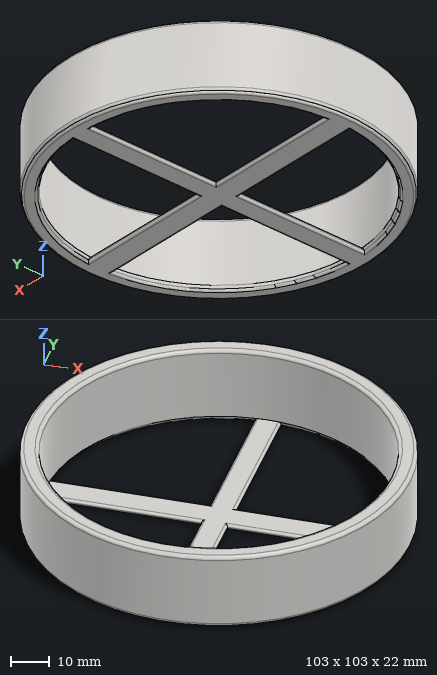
import cadquery as cq

outer_diameter = 103
inner_diameter = 93.0
total_height = 22.0
ring_lift = 0.5
ring_fillet = 1.0

base_thickness = 1.5
base_fillet = 0.7
hoop_inset = 0.4
x_spoke_width = 8.0
y_spoke_width = 7.0


def make_tube(outer, inner, length):
    """Concentric tube standing on the XY plane."""
    return cq.Workplane("XY").circle(outer / 2).circle(inner / 2).extrude(length)


def round_ends(solid, radius):
    """Round every edge of the top and bottom faces."""
    return solid.faces("<Z or >Z").edges().fillet(radius)


def make_ring():
    """Upper ring with all four circular edges rounded."""
    ring = make_tube(outer_diameter, inner_diameter, total_height - ring_lift)
    return round_ends(ring, ring_fillet).translate((0, 0, ring_lift))


def make_hoop():
    """Rounded base hoop, inset from both faces of the ring wall."""
    hoop = make_tube(
        outer_diameter - 2 * hoop_inset, inner_diameter + 2 * hoop_inset, base_thickness
    )
    return round_ends(hoop, base_fillet)


def make_cross():
    """Two crossing spokes with rounded edges, ending inside the ring wall."""
    spoke_length = (outer_diameter + inner_diameter) / 2
    centering = (True, True, False)
    x_spoke = cq.Workplane("XY").box(spoke_length, x_spoke_width, base_thickness, centered=centering)
    y_spoke = cq.Workplane("XY").box(y_spoke_width, spoke_length, base_thickness, centered=centering)
    return round_ends(x_spoke.union(y_spoke), base_fillet)


result = make_ring().union(make_hoop()).union(make_cross())